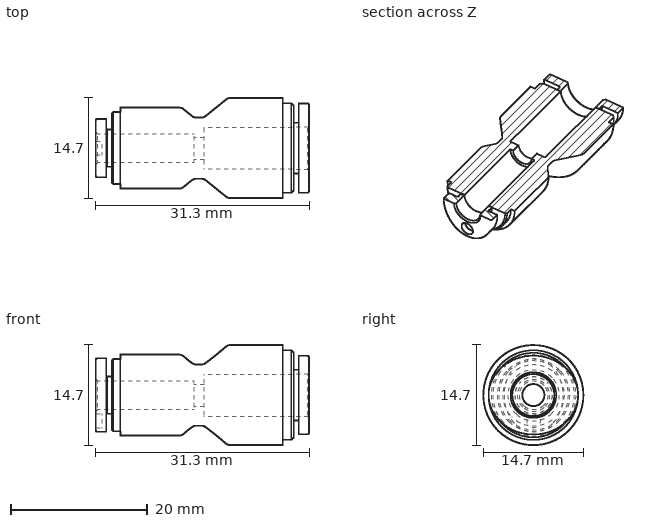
import cadquery as cq


small_collar_face_x = 2.37
small_barrel_start_x = 3.6
small_shoulder_x = 12.57
small_waist_x = 14.37
large_waist_x = 15.84
large_shoulder_x = 19.37
large_barrel_end_x = 27.4
large_collar_face_x = 29.03
large_sleeve_face_x = 31.25

small_collar_diameter = 10.6
small_barrel_diameter = 11.9
waist_diameter = 9.0
large_barrel_diameter = 14.7
large_collar_diameter = 13.15

shoulder_radius = 0.87
small_collar_chamfer = 0.22
large_collar_chamfer = 0.38

passage_diameter = 3.2
small_socket_diameter = 4.18
large_socket_diameter = 6.13
small_socket_end_x = small_waist_x
large_socket_start_x = large_waist_x

small_flange_width = 8.6
small_flange_height = 10.8
small_flange_thickness = 1.55
small_neck_diameter = 5.5
small_bore_diameter = 4.2
large_flange_width = 13.1
large_flange_height = 11.53
large_flange_thickness = 1.52
large_neck_diameter = 7.5
large_bore_diameter = 6.2
flange_edge_radius = 0.22
bore_chamfer = 0.25

relief_diameter = 5.4
relief_width = 0.15

dimple_diameter = 2.0
dimple_drop = 3.75
dimple_depth = 0.9


def disc(diameter, start_x, end_x):
    """Cylinder on the X axis between two positions."""
    return cq.Workplane("YZ", origin=(start_x, 0, 0)).circle(diameter / 2).extrude(end_x - start_x)


def housing_profile():
    """Half section of the solid housing, sharp at the shoulders."""
    small_collar_radius = small_collar_diameter / 2
    large_collar_radius = large_collar_diameter / 2
    return (
        cq.Workplane("XY")
        .moveTo(small_collar_face_x, 0)
        .lineTo(small_collar_face_x, small_collar_radius - small_collar_chamfer)
        .lineTo(small_collar_face_x + small_collar_chamfer, small_collar_radius)
        .lineTo(small_barrel_start_x, small_collar_radius)
        .lineTo(small_barrel_start_x, small_barrel_diameter / 2)
        .lineTo(small_shoulder_x, small_barrel_diameter / 2)
        .lineTo(small_waist_x, waist_diameter / 2)
        .lineTo(large_waist_x, waist_diameter / 2)
        .lineTo(large_shoulder_x, large_barrel_diameter / 2)
        .lineTo(large_barrel_end_x, large_barrel_diameter / 2)
        .lineTo(large_barrel_end_x, large_collar_radius)
        .lineTo(large_collar_face_x - large_collar_chamfer, large_collar_radius)
        .lineTo(large_collar_face_x, large_collar_radius - large_collar_chamfer)
        .lineTo(large_collar_face_x, 0)
        .close()
    )


def shoulder_edges(solid):
    """Circular edges where the cones meet the barrels and the waist."""
    edges = solid.edges("%CIRCLE")
    margin = 0.1
    return edges.filter(
        lambda edge: small_shoulder_x - margin < edge.Center().x < large_shoulder_x + margin
    )


def make_housing():
    body = housing_profile().revolve(360, (0, 0, 0), (1, 0, 0))
    body = shoulder_edges(body).fillet(shoulder_radius)
    body = body.cut(disc(passage_diameter, small_collar_face_x, large_collar_face_x))
    body = body.cut(disc(small_socket_diameter, small_collar_face_x, small_socket_end_x))
    return body.cut(disc(large_socket_diameter, large_socket_start_x, large_collar_face_x))


def make_sleeve(face_x, inward, neck_end_x, flange, neck_diameter, bore_diameter):
    """Release sleeve: inward is +1 or -1, the way along X from its outer face to the housing."""
    width, height, thickness = flange
    outer_face = "<X" if inward > 0 else ">X"
    sleeve = (
        cq.Workplane("YZ", origin=(face_x, 0, 0))
        .ellipse(width / 2, height / 2)
        .extrude(inward * thickness)
        .faces(outer_face)
        .edges()
        .fillet(flange_edge_radius)
    )
    sleeve = sleeve.union(disc(neck_diameter, face_x + inward * thickness, neck_end_x))
    sleeve = sleeve.cut(disc(bore_diameter, face_x, neck_end_x))
    return sleeve.faces(outer_face).edges("%CIRCLE").chamfer(bore_chamfer)


def relief_ring():
    """Ring to cut away around the small neck, next to the back of its flange."""
    start_x = small_flange_thickness
    end_x = start_x + relief_width
    return disc(small_neck_diameter, start_x, end_x).cut(disc(relief_diameter, start_x, end_x))


def make_small_sleeve():
    flange = (small_flange_width, small_flange_height, small_flange_thickness)
    sleeve = make_sleeve(0, 1, small_collar_face_x, flange, small_neck_diameter, small_bore_diameter)
    dimple = disc(dimple_diameter, 0, dimple_depth).translate((0, 0, -dimple_drop))
    return sleeve.cut(dimple).cut(relief_ring())


def make_large_sleeve():
    flange = (large_flange_width, large_flange_height, large_flange_thickness)
    return make_sleeve(
        large_sleeve_face_x, -1, large_collar_face_x, flange, large_neck_diameter, large_bore_diameter
    )


housing = make_housing()
small_sleeve = make_small_sleeve()
large_sleeve = make_large_sleeve()

result = cq.Compound.makeCompound([housing.val(), small_sleeve.val(), large_sleeve.val()])